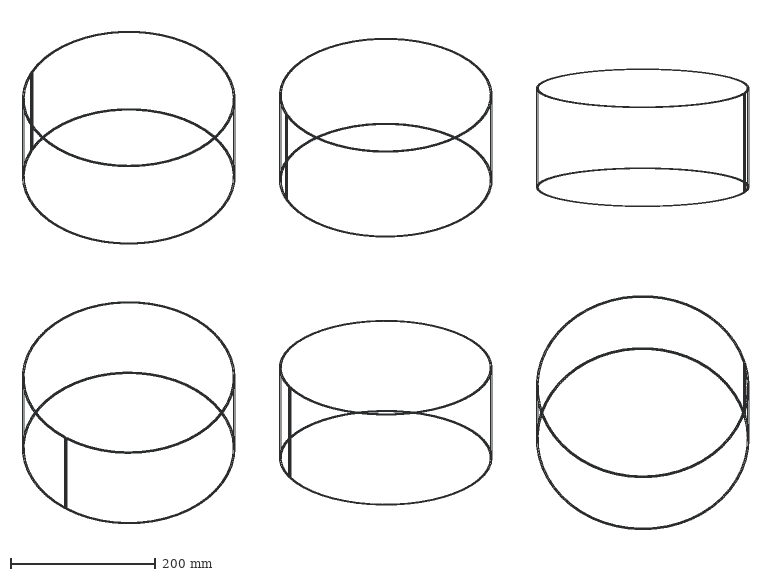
import cadquery as cq

OUTER_DIAMETER = 295.0
WALL_THICKNESS = 2.5
HEIGHT = 140.0
OUTER_CHAMFER = 0.5
INNER_CHAMFER = 0.2
SLIT_ANGLE = 1.0

outer_radius = OUTER_DIAMETER / 2
inner_radius = outer_radius - WALL_THICKNESS


def make_wall_section():
    """Wall cross-section at -X: a tall rectangle with all four corners chamfered."""
    return (
        cq.Workplane("XZ")
        .moveTo(-inner_radius - INNER_CHAMFER, 0)
        .lineTo(-outer_radius + OUTER_CHAMFER, 0)
        .lineTo(-outer_radius, OUTER_CHAMFER)
        .lineTo(-outer_radius, HEIGHT - OUTER_CHAMFER)
        .lineTo(-outer_radius + OUTER_CHAMFER, HEIGHT)
        .lineTo(-inner_radius - INNER_CHAMFER, HEIGHT)
        .lineTo(-inner_radius, HEIGHT - INNER_CHAMFER)
        .lineTo(-inner_radius, INNER_CHAMFER)
        .close()
    )


def make_split_band(section):
    """Sweep the section around Z from -X through -Y, leaving a narrow slit on the +Y side of -X."""
    sweep_angle = 360 - SLIT_ANGLE
    return section.revolve(sweep_angle, (0, 0, 0), (0, 1, 0))


result = make_split_band(make_wall_section())